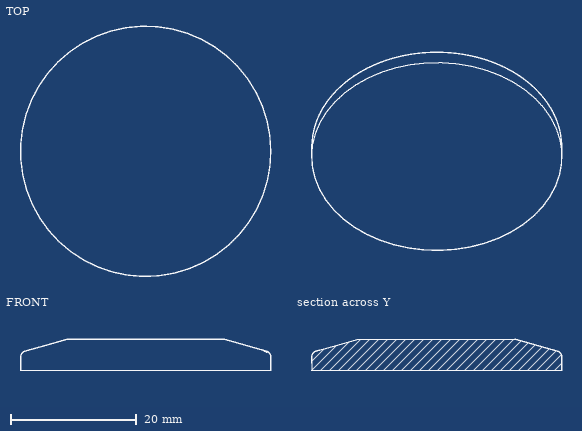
import cadquery as cq

outer_diameter = 39.8
total_height = 5.0
flat_top_diameter = 24.9
corner_height = 2.9
rim_radius = 1.0

outer_radius = outer_diameter / 2
flat_top_radius = flat_top_diameter / 2

disc = (
    cq.Workplane("XZ")
    .lineTo(outer_radius, 0)
    .lineTo(outer_radius, corner_height)
    .lineTo(flat_top_radius, total_height)
    .lineTo(0, total_height)
    .close()
    .revolve(360, (0, 0, 0), (0, 1, 0))
)

rim_edge = cq.selectors.BoxSelector(
    (-outer_diameter, -outer_diameter, corner_height - rim_radius),
    (outer_diameter, outer_diameter, corner_height + rim_radius),
    boundingbox=True,
)
result = disc.edges(rim_edge).fillet(rim_radius)